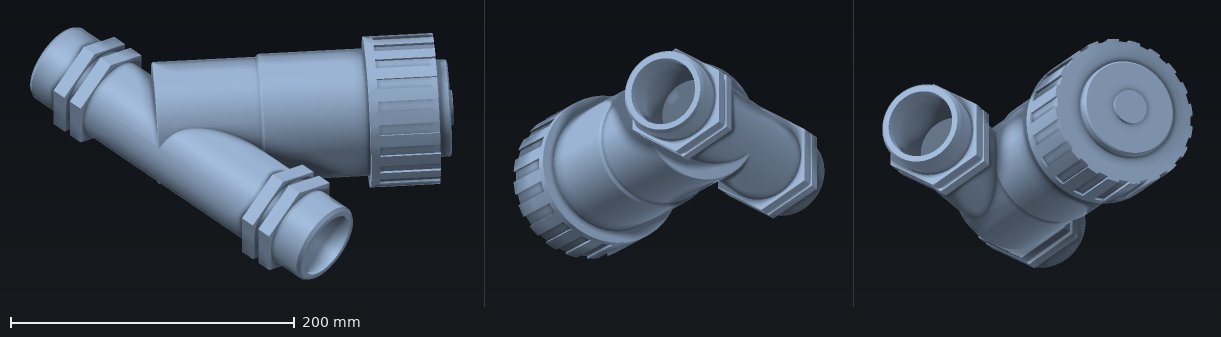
import cadquery as cq
import math


pipe_diameter = 59.5
pipe_length = 253.8
pipe_start_x = -85.2
pipe_chamfer_length = 2.7
pipe_chamfer_height = 2.0
bore_diameter = 47.8
bore_depth = 64.0

hex_across_flats = 65.0
hex_width = 10.2
hex_gap = 5.0
hex_end_distance = 26.0
hex_sides = 6
hex_half_angle = 180 / hex_sides
corner_turn = 90.0

branch_angle = 45.0
body_diameter = 86.0
body_start = 5.3
body_chamfer = 0.8
shoulder_start = 78.5
shoulder_length = 2.1
bonnet_diameter = 90.0
cap_start = 155.0
cap_length = 49.2
cap_diameter = 106.5
hub_diameter = 68.7
hub_height = 9.0
hub_chamfer = 1.0
stem_diameter = 24.5
stem_height = 2.7

notch_count = 20
notch_width = 7.7
notch_depth = 2.0
notch_rim = 6.5

cap_end = cap_start + cap_length
hub_end = cap_end + hub_height
pipe_middle_x = pipe_start_x + pipe_length / 2

branch_x = math.cos(math.radians(branch_angle))
branch_y = math.sin(math.radians(branch_angle))


def branch_plane(distance):
    """Plane square to the branch axis, at a distance along it from the origin."""
    return cq.Plane(
        origin=(distance * branch_x, distance * branch_y, 0),
        xDir=(branch_y, -branch_x, 0),
        normal=(branch_x, branch_y, 0),
    )


def branch_cylinder(diameter, start, end):
    return cq.Workplane(branch_plane(start)).circle(diameter / 2).extrude(end - start)


def make_pipe():
    """Pipe with both ends chamfered, revolved about the X axis."""
    radius = pipe_diameter / 2
    end_radius = radius - pipe_chamfer_height
    end_x = pipe_start_x + pipe_length
    return (
        cq.Workplane("XY")
        .moveTo(pipe_start_x, 0)
        .lineTo(pipe_start_x, end_radius)
        .lineTo(pipe_start_x + pipe_chamfer_length, radius)
        .lineTo(end_x - pipe_chamfer_length, radius)
        .lineTo(end_x, end_radius)
        .lineTo(end_x, 0)
        .close()
        .revolve(360, (0, 0, 0), (1, 0, 0))
    )


def make_hex_rings():
    """Two rings beside each pipe end, with flats on +Y and -Y and corners on +Z and -Z."""
    across_corners = hex_across_flats / math.cos(math.radians(hex_half_angle))
    outer_offset = pipe_length / 2 - hex_end_distance - hex_width / 2
    inner_offset = outer_offset - hex_width - hex_gap
    rings = cq.Workplane("YZ")
    for offset in (-outer_offset, -inner_offset, inner_offset, outer_offset):
        ring = (
            cq.Workplane("YZ", origin=(pipe_middle_x + offset, 0, 0))
            .transformed(rotate=(0, 0, corner_turn))
            .polygon(hex_sides, across_corners)
            .extrude(hex_width / 2, both=True)
        )
        rings = rings.add(ring)
    return rings.combine()


def make_bores():
    """Blind bores, one from each pipe end."""
    plug_offset = (pipe_length - bore_depth) / 2
    bore = cq.Workplane("YZ").circle(bore_diameter / 2).extrude(bore_depth / 2, both=True)
    near_bore = bore.translate((pipe_middle_x - plug_offset, 0, 0))
    far_bore = bore.translate((pipe_middle_x + plug_offset, 0, 0))
    return near_bore.add(far_bore).combine()


def make_branch_body():
    """Lower body, then a short cone that widens to the bonnet."""
    body = branch_cylinder(body_diameter, body_start, shoulder_start)
    body = body.faces("<(1, 1, 0)").chamfer(body_chamfer)
    cone = (
        cq.Workplane(branch_plane(shoulder_start))
        .circle(body_diameter / 2)
        .workplane(offset=shoulder_length)
        .circle(bonnet_diameter / 2)
        .loft()
    )
    bonnet = branch_cylinder(bonnet_diameter, shoulder_start + shoulder_length, cap_start)
    return body.union(cone).union(bonnet)


def make_cap():
    """Union nut with flat-bottomed grip notches that leave a plain rim at its start."""
    cap = branch_cylinder(cap_diameter, cap_start, cap_end)
    notches = (
        cq.Workplane(branch_plane(cap_start + notch_rim))
        .polarArray(cap_diameter / 2, 0, 360, notch_count)
        .rect(2 * notch_depth, notch_width)
        .extrude(cap_length)
    )
    return cap.cut(notches)


def make_cap_hub():
    """Hub and stem end standing out of the cap."""
    hub = branch_cylinder(hub_diameter, cap_end, hub_end)
    hub = hub.faces(">(1, 1, 0)").chamfer(hub_chamfer)
    stem = branch_cylinder(stem_diameter, hub_end, hub_end + stem_height)
    return hub.union(stem)


result = (
    make_pipe()
    .union(make_hex_rings())
    .union(make_branch_body())
    .union(make_cap())
    .union(make_cap_hub())
    .cut(make_bores())
)